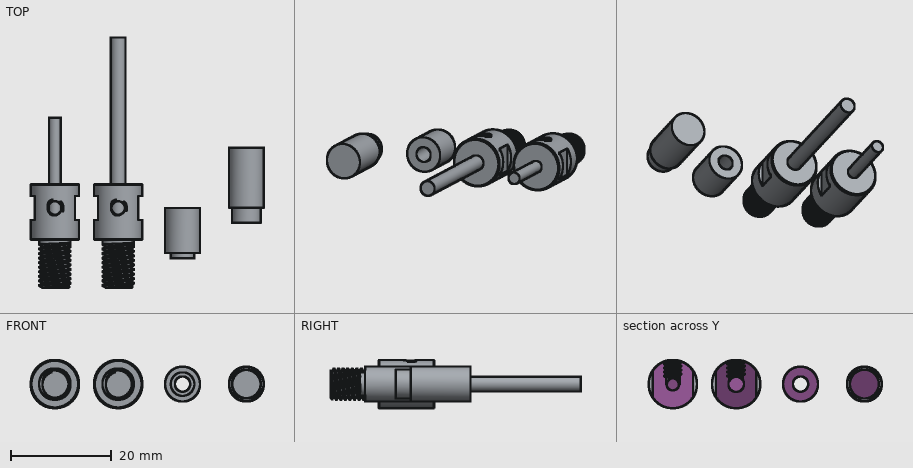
import cadquery as cq
import math

part_spacing = 12.7
housing_spacing = 12.6

body_diameter = 9.67
body_length = 11.11
body_chamfer = 0.2
flat_width = 8.07
flat_length = 4.76
flat_offset = 2.38

stud_diameter = 6.29
stud_length = 9.525
stud_pitch = 0.907
stud_thread_depth = 0.72
stud_thread_start = 0.9
stud_seam_angle = 60
stud_end_chamfer = 0.45

set_hole_diameter = 2.69
set_hole_offset = flat_offset + flat_length / 2
set_pitch = 0.794
set_thread_depth = 0.4
set_thread_bottom = 1.2

rod_depth = 8.93
short_rod_diameter = 2.38
short_rod_exposed = 13.22
long_rod_diameter = 3.0
long_rod_exposed = 29.175

sleeve_diameter = 7.0
sleeve_datum = 6.35
bushing_body_length = 9.0
bushing_tip_diameter = 4.7
bushing_tip_length = 1.0
bushing_bore = 3.0
plug_body_length = 12.0
plug_tip_diameter = 5.8
plug_tip_length = 3.0
plug_chamfer = 0.1

flank_slope = math.tan(math.radians(30))
thread_overrun = 0.04


def cylinder_along_y(diameter, x, front, length):
    """Cylinder about an axis at X = x, running from Y = front toward +Y."""
    circle = cq.Workplane("XZ", origin=(x, front, 0)).circle(diameter / 2)
    return circle.extrude(-length)


def thread_groove(surface_radius, depth, pitch, height):
    """V groove winding right-handed up +Z from Z = 0; a negative depth cuts outward."""
    side = math.copysign(1, depth)
    root_radius = surface_radius - depth
    open_radius = surface_radius + side * thread_overrun
    half_width = abs(open_radius - root_radius) * flank_slope
    path = cq.Wire.makeHelix(pitch, height, surface_radius)
    profile = (
        cq.Workplane("XZ")
        .moveTo(root_radius, 0)
        .lineTo(open_radius, half_width)
        .lineTo(open_radius, -half_width)
        .close()
    )
    return profile.sweep(cq.Workplane(path), isFrenet=True)


def stud_end_relief():
    """Ring with a conical inside that chamfers the free end of the stud."""
    radius = stud_diameter / 2
    return (
        cq.Workplane("XY")
        .moveTo(radius - stud_end_chamfer, -stud_length)
        .lineTo(radius + stud_end_chamfer, -stud_length)
        .lineTo(radius + stud_end_chamfer, -stud_length + 2 * stud_end_chamfer)
        .close()
        .revolve(360, (0, 0), (0, 1))
    )


def stud():
    """Threaded stud; its groove starts just clear of the shoulder and runs off the end."""
    shank = cylinder_along_y(stud_diameter, 0, -stud_length, stud_length)
    shank = shank.rotate((0, 0, 0), (0, 1, 0), -stud_seam_angle)
    groove_length = stud_length + stud_pitch - stud_thread_start
    groove = thread_groove(stud_diameter / 2, stud_thread_depth, stud_pitch, groove_length)
    groove = groove.rotate((0, 0, 0), (1, 0, 0), 90).translate((0, -stud_thread_start, 0))
    return shank.cut(groove).cut(stud_end_relief())


def cut_wrench_flats(body):
    """Two parallel flats, facing -X and +X."""
    flat_y = body_length - flat_offset - flat_length / 2
    cut_depth = body_diameter - flat_width
    for side in (-1, 1):
        flat_x = side * (flat_width + cut_depth) / 2
        flat = cq.Workplane("XY").box(cut_depth, flat_length, body_diameter)
        body = body.cut(flat.translate((flat_x, flat_y, 0)))
    return body


def cut_set_screw_hole(body):
    """Tapped radial hole from the top of the housing down to the rod bore."""
    hole_y = body_length - set_hole_offset
    groove_height = body_diameter / 2 + set_pitch - set_thread_bottom
    groove = thread_groove(set_hole_diameter / 2, -set_thread_depth, set_pitch, groove_height)
    groove = groove.translate((0, hole_y, set_thread_bottom))
    hole = cq.Workplane("XY", origin=(0, hole_y, 0)).circle(set_hole_diameter / 2)
    return body.cut(groove).cut(hole.extrude(body_diameter))


def housing(x, rod_diameter):
    body = cylinder_along_y(body_diameter, 0, 0, body_length)
    body = body.faces("<Y or >Y").chamfer(body_chamfer)
    body = cut_wrench_flats(body)
    body = cut_set_screw_hole(body)
    body = body.cut(cylinder_along_y(rod_diameter, 0, body_length - rod_depth, rod_depth))
    body = body.union(stud())
    return body.translate((x, 0, 0))


def rod(x, diameter, exposed_length):
    return cylinder_along_y(diameter, x, body_length - rod_depth, rod_depth + exposed_length)


def bushing(x):
    step = sleeve_datum - bushing_body_length
    body = cylinder_along_y(sleeve_diameter, x, step, bushing_body_length)
    tip = cylinder_along_y(bushing_tip_diameter, x, step - bushing_tip_length, bushing_tip_length)
    bore_length = bushing_body_length + bushing_tip_length
    bore = cylinder_along_y(bushing_bore, x, step - bushing_tip_length, bore_length)
    return body.union(tip).cut(bore)


def plug(x):
    body = cylinder_along_y(sleeve_diameter, x, sleeve_datum, plug_body_length)
    body = body.faces("<Y").chamfer(plug_chamfer)
    tip = cylinder_along_y(plug_tip_diameter, x, sleeve_datum - plug_tip_length, plug_tip_length)
    tip = tip.faces("<Y").chamfer(plug_chamfer)
    return body.union(tip)


rod_sizes = [
    (short_rod_diameter, short_rod_exposed),
    (long_rod_diameter, long_rod_exposed),
]

bodies = []
for index, (rod_diameter, rod_exposed) in enumerate(rod_sizes):
    holder_x = index * housing_spacing
    bodies.append(housing(holder_x, rod_diameter).val())
    bodies.append(rod(holder_x, rod_diameter, rod_exposed).val())

bodies.append(bushing(2 * part_spacing).val())
bodies.append(plug(3 * part_spacing).val())

result = cq.Compound.makeCompound(bodies)